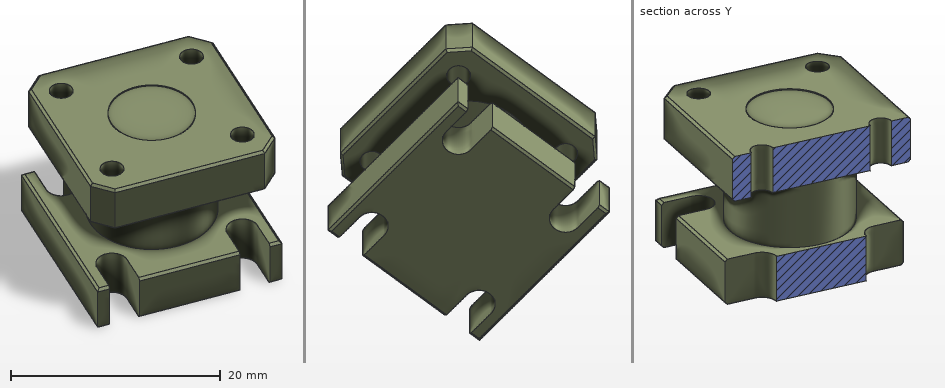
import cadquery as cq
import math

side = 19.05
height = 16.51
plate_thickness = 4.826
edge_chamfer = 0.254

corner_face_width = 2.54
corner_chamfer = corner_face_width / math.sqrt(2)

neck_diameter = 12.7

pitch_x = 12.7
pitch_y = 13.46
hole_diameter = 2.26
slot_width = 3.1

recess_diameter = 8.36
recess_depth = 0.127

neck_base_z = plate_thickness
top_plate_z = height - plate_thickness


def make_cylinder(diameter, base_z, top_z):
    """Upright cylinder on the part's central axis."""
    return cq.Workplane("XY").workplane(offset=base_z).circle(diameter / 2).extrude(top_z - base_z)


def make_slot(x_sign, y_sign):
    """Full-height slot cutter: rounded inner end, open past the X side of the plate."""
    inner_x = x_sign * pitch_x / 2
    outer_x = x_sign * side
    y_center = y_sign * pitch_y / 2
    slot_length = abs(outer_x - inner_x) + slot_width
    return (
        cq.Workplane("XY")
        .center((inner_x + outer_x) / 2, y_center)
        .slot2D(slot_length, slot_width)
        .extrude(plate_thickness)
    )


def make_bottom_plate():
    """Square plate with chamfered rims and four round-ended slots open to the X sides."""
    plate = cq.Workplane("XY").rect(side, side).extrude(plate_thickness)
    plate = plate.faces("<Z or >Z").edges().chamfer(edge_chamfer)
    for x_sign in (-1, 1):
        for y_sign in (-1, 1):
            plate = plate.cut(make_slot(x_sign, y_sign))
    return plate


def make_top_plate():
    """Square plate with cut corners, chamfered rims, four through holes and a round recess."""
    plate = cq.Workplane("XY").workplane(offset=top_plate_z).rect(side, side).extrude(plate_thickness)
    plate = plate.edges("|Z").chamfer(corner_chamfer)
    plate = plate.faces("<Z or >Z").edges().chamfer(edge_chamfer)
    holes = (
        cq.Workplane("XY")
        .workplane(offset=top_plate_z)
        .rect(pitch_x, pitch_y, forConstruction=True)
        .vertices()
        .circle(hole_diameter / 2)
        .extrude(plate_thickness)
    )
    recess = make_cylinder(recess_diameter, height - recess_depth, height)
    return plate.cut(holes).cut(recess)


neck = make_cylinder(neck_diameter, neck_base_z, top_plate_z)
result = make_bottom_plate().union(neck).union(make_top_plate())